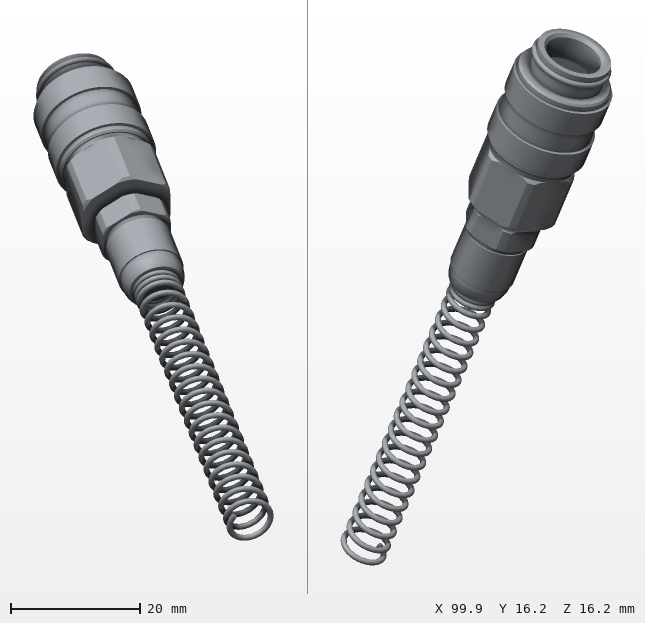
import cadquery as cq
import math

length = 99.9

neck_diameter = 12.0
bead_diameter = 13.0
bead_center = 1.5
bead_radius = 0.5
mouth_diameter = 10.0
bore_diameter = 9.0
mouth_chamfer = 0.5
bore_depth = 4.5
pin_diameter = 2.0

sleeve_diameter = 16.2
sleeve_core_diameter = 15.2
sleeve_start = 4.3
sleeve_end = 19.1
sleeve_chamfer = 0.3
front_band = (5.5, 9.8)
rear_band = (13.7, 18.0)

collar_diameter = 14.2
large_hex_start = 20.1
large_hex_end = 29.9
large_hex_flats = 14.0
large_hex_corners = 15.5
large_hex_chamfer = 0.4

stem_diameter = 6.5
small_hex_start = 31.4
small_hex_end = 35.4
small_hex_flats = 11.0
small_hex_corners = 12.0
small_hex_chamfer = 0.2

nut_diameter = 10.5
nut_shoulder_diameter = 10.0
nut_body_start = 36.4
nut_body_end = 43.5
nut_rounding_start = 44.5
nut_end = 46.5
nut_end_diameter = 8.8

spring_outer_diameter = 7.7
wire_diameter = 0.9
closed_coil_gap = 0.15
closed_pitch = wire_diameter + closed_coil_gap
spring_start = 45.7
opening_turns = (2.7, 3.9)
closing_turns = (21.3, 21.7)
spring_turns = 21.9
spring_end_angle = 50.0
points_per_turn = 16


def cylinder(diameter, start, end):
    return cq.Workplane("YZ", origin=(start, 0, 0)).circle(diameter / 2).extrude(end - start)


def hexagon(flats, corners, chamfer, start, end):
    """Hexagonal prism with flats facing +Y and -Y and its corners turned down, ends chamfered."""
    half_sector = 180 / 6
    sharp_corners = flats / math.cos(math.radians(half_sector))
    prism = cq.Workplane("YZ", origin=(start, 0, 0)).transformed(rotate=(0, 0, half_sector))
    prism = prism.polygon(6, sharp_corners).extrude(end - start)
    return prism.intersect(cylinder(corners, start, end).edges().chamfer(chamfer))


def socket():
    neck = cylinder(neck_diameter, 0, sleeve_start)
    ring = cq.Solid.makeTorus(
        bead_diameter / 2 - bead_radius, bead_radius, cq.Vector(bead_center, 0, 0), cq.Vector(1, 0, 0)
    )
    return neck.union(cq.Workplane(ring))


def sleeve():
    core = cylinder(sleeve_core_diameter, sleeve_start, sleeve_end).edges().chamfer(sleeve_chamfer)
    for start, end in (front_band, rear_band):
        core = core.union(cylinder(sleeve_diameter, start, end))
    return core


def socket_bore():
    bore = cylinder(bore_diameter, 0, bore_depth)
    mouth = cq.Solid.makeCone(
        mouth_diameter / 2, bore_diameter / 2, mouth_chamfer, cq.Vector(0, 0, 0), cq.Vector(1, 0, 0)
    )
    return bore.union(cq.Workplane(mouth))


def pin():
    """Domed pin tip standing out of the bore floor."""
    return cq.Workplane("XY", origin=(bore_depth, 0, 0)).sphere(pin_diameter / 2)


def nut():
    nut_radius = nut_diameter / 2
    shoulder_radius = nut_shoulder_diameter / 2
    tip_radius = nut_end_diameter / 2
    profile = (
        cq.Workplane("XY")
        .moveTo(small_hex_end, 0)
        .lineTo(small_hex_end, shoulder_radius)
        .lineTo(nut_body_start, shoulder_radius)
        .lineTo(nut_body_start, nut_radius)
        .lineTo(nut_body_end, nut_radius)
        .lineTo(nut_body_end, shoulder_radius)
        .lineTo(nut_rounding_start, shoulder_radius)
        .tangentArcPoint((nut_end, tip_radius), relative=False)
        .lineTo(nut_end, 0)
        .close()
    )
    return profile.revolve(360, (0, 0, 0), (1, 0, 0))


def ramp_area(turn, start, end):
    """Integral from 0 to turn of a ramp that rises from 0 at start to 1 at end."""
    rising = min(max(turn - start, 0), end - start)
    return rising**2 / (2 * (end - start)) + max(turn - end, 0)


def open_share(turn):
    """Turns run at the open pitch, counted from the start of the spring."""
    return ramp_area(turn, *opening_turns) - ramp_area(turn, *closing_turns)


def closed_share(turn):
    """Turns run at the closed pitch, counted from the start of the spring."""
    return turn - ramp_area(turn, *opening_turns)


def spring():
    coil_radius = (spring_outer_diameter - wire_diameter) / 2
    end_angle = math.radians(spring_end_angle)
    spring_length = length - wire_diameter / 2 - spring_start
    open_pitch = (spring_length - closed_pitch * closed_share(spring_turns)) / open_share(spring_turns)

    def point(turn):
        angle = end_angle + 2 * math.pi * (spring_turns - turn)
        x = spring_start + closed_pitch * closed_share(turn) + open_pitch * open_share(turn)
        return (x, -coil_radius * math.sin(angle), coil_radius * math.cos(angle))

    point_count = round(spring_turns * points_per_turn)
    points = [point(spring_turns * i / point_count) for i in range(point_count + 1)]
    centerline = cq.Edge.makeSpline([cq.Vector(*p) for p in points])
    path = cq.Workplane(cq.Wire.assembleEdges([centerline]))
    wire_plane = cq.Plane(origin=centerline.startPoint(), normal=centerline.tangentAt(0))
    return cq.Workplane(wire_plane).circle(wire_diameter / 2).sweep(path, isFrenet=True)


body = (
    socket()
    .union(sleeve())
    .union(cylinder(collar_diameter, sleeve_end, large_hex_start))
    .union(hexagon(large_hex_flats, large_hex_corners, large_hex_chamfer, large_hex_start, large_hex_end))
    .union(cylinder(stem_diameter, large_hex_end, small_hex_start))
    .union(hexagon(small_hex_flats, small_hex_corners, small_hex_chamfer, small_hex_start, small_hex_end))
    .union(nut())
    .cut(socket_bore())
    .union(pin())
)
result = body.union(spring())